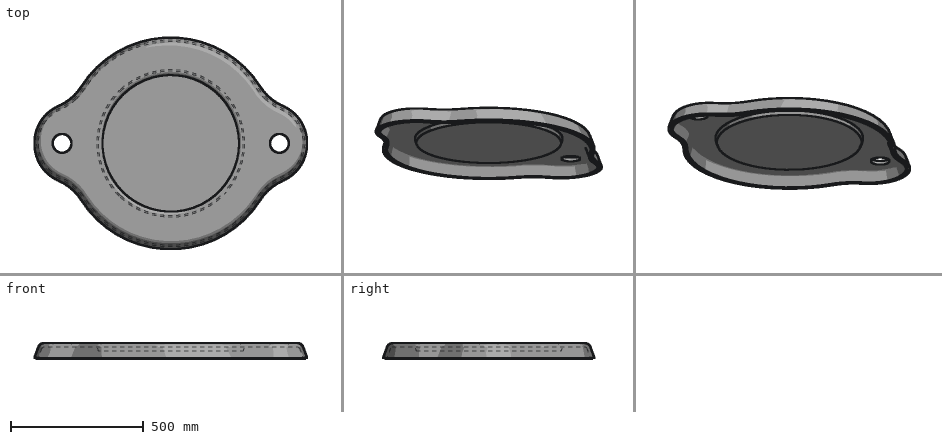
import cadquery as cq
import math

LENGTH = 1030.0
WIDTH = 799.0
THICKNESS = 60.0

DISC_RADIUS = WIDTH / 2
EAR_RADIUS = 155.0
EAR_CENTER_X = LENGTH / 2 - EAR_RADIUS
BLEND_RADIUS = 191.0

SEAL_HEIGHT = 3.0
SEAL_INSET = 9.0

COVER_HEIGHT = THICKNESS - SEAL_HEIGHT
WALL = 15.0
DRAFT_ANGLE = 20.0
TOP_EDGE_RADIUS = 25.0
CAVITY_EDGE_RADIUS = TOP_EDGE_RADIUS - WALL

RECESS_FLOOR_RADIUS = 257.0
RECESS_DEPTH = 15.0
RECESS_RIM_RADIUS = 15.0

HOLE_DIAMETER = 70.0
HOLE_CENTER_X = 410.0


def outline(inset, base_z):
    """Closed outline of tangent arcs, moved inward by inset."""
    disc_radius = DISC_RADIUS - inset
    ear_radius = EAR_RADIUS - inset
    blend_radius = BLEND_RADIUS + inset
    ear_tip = EAR_CENTER_X + ear_radius

    to_disc = DISC_RADIUS + BLEND_RADIUS
    to_ear = EAR_RADIUS + BLEND_RADIUS
    blend_x = (to_disc**2 - to_ear**2 + EAR_CENTER_X**2) / (2 * EAR_CENTER_X)
    blend_y = math.sqrt(to_disc**2 - blend_x**2)

    disc_x = blend_x * disc_radius / to_disc
    disc_y = blend_y * disc_radius / to_disc
    ear_x = EAR_CENTER_X + (blend_x - EAR_CENTER_X) * ear_radius / to_ear
    ear_y = blend_y * ear_radius / to_ear

    middle_x = (disc_x + ear_x) / 2 - blend_x
    middle_y = (disc_y + ear_y) / 2 - blend_y
    scale = blend_radius / math.hypot(middle_x, middle_y)
    neck_x = blend_x + middle_x * scale
    neck_y = blend_y + middle_y * scale

    return (
        cq.Workplane("XY", origin=(0, 0, base_z))
        .moveTo(-disc_x, disc_y)
        .threePointArc((0, disc_radius), (disc_x, disc_y))
        .threePointArc((neck_x, neck_y), (ear_x, ear_y))
        .threePointArc((ear_tip, 0), (ear_x, -ear_y))
        .threePointArc((neck_x, -neck_y), (disc_x, -disc_y))
        .threePointArc((0, -disc_radius), (-disc_x, -disc_y))
        .threePointArc((-neck_x, -neck_y), (-ear_x, -ear_y))
        .threePointArc((-ear_tip, 0), (-ear_x, ear_y))
        .threePointArc((-neck_x, neck_y), (-disc_x, disc_y))
        .close()
    )


def recess_cone(extra_radius, floor_z):
    """Cone from floor_z to the top of the cover, widening upward."""
    return (
        cq.Workplane("XY", origin=(0, 0, floor_z))
        .circle(RECESS_FLOOR_RADIUS + extra_radius)
        .extrude(THICKNESS - floor_z, taper=-DRAFT_ANGLE)
    )


def make_cavity():
    """Space under the cover, leaving one wall thickness all round and under the recess."""
    cavity = outline(WALL, SEAL_HEIGHT).extrude(COVER_HEIGHT - WALL, taper=DRAFT_ANGLE)
    cavity = cavity.faces(">Z").edges().fillet(CAVITY_EDGE_RADIUS)
    recess_floor_z = THICKNESS - RECESS_DEPTH
    return cavity.cut(recess_cone(WALL, recess_floor_z - WALL))


def make_cover():
    cover = outline(0, SEAL_HEIGHT).extrude(COVER_HEIGHT, taper=DRAFT_ANGLE)
    cover = cover.faces(">Z").edges().fillet(TOP_EDGE_RADIUS)

    cover = cover.cut(recess_cone(0, THICKNESS - RECESS_DEPTH))
    top_center = cq.selectors.NearestToPointSelector((0, 0, THICKNESS))
    cover = cover.faces(">Z").edges(top_center).fillet(RECESS_RIM_RADIUS)

    cover = cover.cut(make_cavity())

    holes = (
        cq.Workplane("XY")
        .pushPoints([(-HOLE_CENTER_X, 0), (HOLE_CENTER_X, 0)])
        .circle(HOLE_DIAMETER / 2)
        .extrude(THICKNESS)
    )
    return cover.cut(holes)


def make_seal():
    """Flat strip under the rim, flush with the inside of the cover's wall."""
    outer = outline(SEAL_INSET, 0).extrude(SEAL_HEIGHT)
    inner = outline(WALL, 0).extrude(SEAL_HEIGHT)
    return outer.cut(inner)


cover = make_cover()
seal = make_seal()

result = cq.Compound.makeCompound([cover.solids().val(), seal.solids().val()])